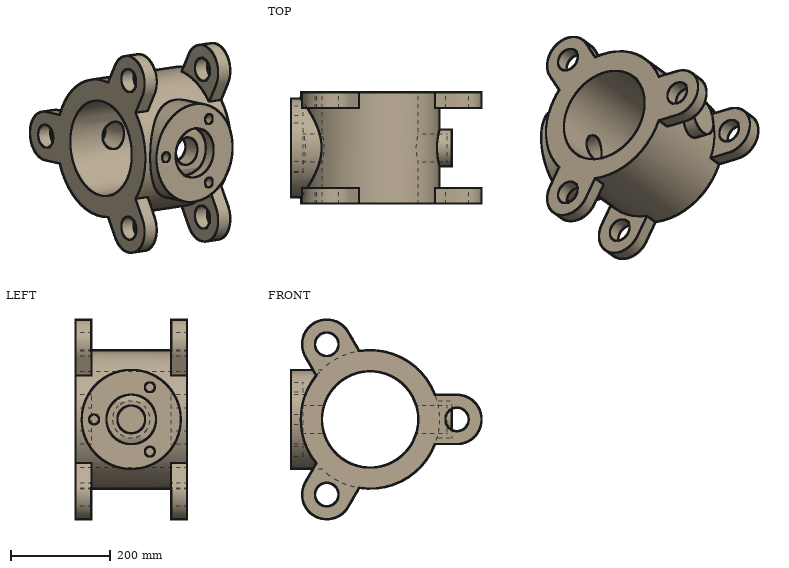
import cadquery as cq

BODY_LENGTH = 225.0
BODY_RADIUS = 140.0
BORE_RADIUS = 97.0

LUG_COUNT = 3
LUG_CIRCLE_RADIUS = 175.0
LUG_END_RADIUS = 50.0
LUG_HOLE_DIAMETER = 47.0
LUG_THICKNESS = 32.0

PORT_FACE_X = -160.0
PORT_RADIUS = 100.0
PORT_RECESS_RADIUS = 50.0
PORT_RECESS_DEPTH = 25.0

SCREW_COUNT = 3
SCREW_CIRCLE_RADIUS = 75.0
SCREW_HOLE_DIAMETER = 20.0
SCREW_HOLE_DEPTH = 25.0

CROSS_HOLE_RADIUS = 28.0
BOSS_FACE_X = 165.0
BOSS_RADIUS = 37.5
BOSS_CAP_THICKNESS = 10.0


def cylinder_y(radius):
    """Cylinder on the tube axis, as long as the tube."""
    return cq.Workplane("XZ").circle(radius).extrude(BODY_LENGTH / 2, both=True)


def cylinder_x(radius, x_start, x_end):
    """Cylinder along the X axis between two X positions."""
    return cq.Workplane("YZ", origin=(x_start, 0, 0)).circle(radius).extrude(x_end - x_start)


def make_lug(y_start, angle):
    """Round-ended arm reaching out from the tube axis, with its bolt hole."""
    plane = cq.Workplane("XZ", origin=(0, y_start, 0))
    arm = (
        plane.moveTo(0, -LUG_END_RADIUS)
        .lineTo(LUG_CIRCLE_RADIUS, -LUG_END_RADIUS)
        .threePointArc(
            (LUG_CIRCLE_RADIUS + LUG_END_RADIUS, 0),
            (LUG_CIRCLE_RADIUS, LUG_END_RADIUS),
        )
        .lineTo(0, LUG_END_RADIUS)
        .close()
        .extrude(-LUG_THICKNESS)
    )
    hole = plane.center(LUG_CIRCLE_RADIUS, 0).circle(LUG_HOLE_DIAMETER / 2).extrude(-LUG_THICKNESS)
    return arm.cut(hole).rotate((0, 0, 0), (0, 1, 0), angle)


def make_tube_with_lugs():
    """Solid tube body carrying the lugs at both ends."""
    tube = cylinder_y(BODY_RADIUS)
    for y_start in (-BODY_LENGTH / 2, BODY_LENGTH / 2 - LUG_THICKNESS):
        for index in range(LUG_COUNT):
            tube = tube.union(make_lug(y_start, index * 360 / LUG_COUNT))
    return tube


def make_port_recess():
    """Port recess: flat seat across the crown of the tube, tube's round outside above and below it."""
    tube = cylinder_y(BODY_RADIUS)
    around_tube = cylinder_x(PORT_RECESS_RADIUS, PORT_FACE_X, 0).cut(tube)
    down_to_seat = cylinder_x(PORT_RECESS_RADIUS, PORT_FACE_X, PORT_FACE_X + PORT_RECESS_DEPTH)
    return down_to_seat.union(around_tube)


def make_screw_holes():
    """Blind holes evenly spaced around the port axis, the first one on the +Y side."""
    return (
        cq.Workplane("YZ", origin=(PORT_FACE_X, 0, 0))
        .polarArray(SCREW_CIRCLE_RADIUS, 0, 360, SCREW_COUNT)
        .circle(SCREW_HOLE_DIAMETER / 2)
        .extrude(SCREW_HOLE_DEPTH)
    )


def make_cross_hole():
    """Hole through the port seat and bore, ending under the cap of the boss."""
    return cylinder_x(CROSS_HOLE_RADIUS, PORT_FACE_X, BOSS_FACE_X - BOSS_CAP_THICKNESS)


body = make_tube_with_lugs()
body = body.union(cylinder_x(PORT_RADIUS, PORT_FACE_X, 0))
body = body.union(cylinder_x(BOSS_RADIUS, 0, BOSS_FACE_X))
body = body.cut(make_port_recess())
body = body.cut(make_screw_holes())
body = body.cut(make_cross_hole())
result = body.cut(cylinder_y(BORE_RADIUS))